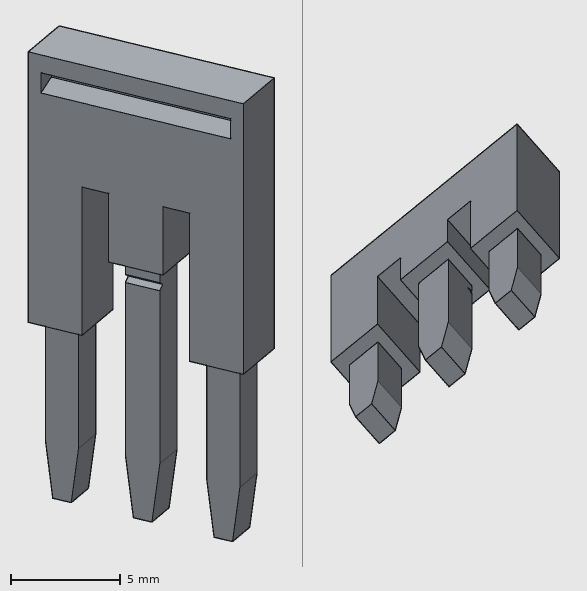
import cadquery as cq

body_width = 11.2
body_depth = 3.0
total_height = 22.98
body_height = 13.88
leg_width = 2.8
window_width = 1.38
window_top_drop = 6.27
tongue_drop = 9.8

outer_pin_width = 1.72
middle_pin_width = 1.8
pin_depth = 1.68
pin_tip_width = 0.97
outer_taper_length = 2.87
middle_taper_length = 3.1
pin_pitch = body_width / 2 - leg_width / 2
pin_front = -pin_depth / 2

groove_drop = 10.8
groove_height = 0.41
groove_depth = 0.28

slot_width = 9.85
slot_drop = 0.92
slot_height = 1.03
slot_upper_slope = 0.28
slot_lower_slope = 0.37
slot_depth = 1.0

body_front = -body_depth / 2
body_bottom = total_height - body_height
window_top = total_height - window_top_drop
tongue_bottom = total_height - tongue_drop
tongue_width = body_width - 2 * (leg_width + window_width)


def block(width, depth, bottom, top):
    """Box centred on X and Y between two heights."""
    height = top - bottom
    return cq.Workplane("XY").box(width, depth, height, centered=(True, True, False)).translate((0, 0, bottom))


def profile_along_x(points, width):
    """Extrude a (Y, Z) profile symmetrically about X = 0."""
    return cq.Workplane("YZ").polyline(points).close().extrude(width / 2, both=True)


def housing():
    """E-shaped housing with two outer legs and a short middle tongue."""
    body = block(body_width, body_depth, body_bottom, total_height)
    opening = block(body_width - 2 * leg_width, body_depth, body_bottom, window_top)
    tongue = block(tongue_width, body_depth, tongue_bottom, window_top)
    return body.cut(opening).union(tongue)


def pin(x_centre, top, width, taper_length):
    """Flat pin whose sides taper to a blunt tip at Z = 0."""
    outline = [
        (-pin_tip_width / 2, 0),
        (pin_tip_width / 2, 0),
        (width / 2, taper_length),
        (width / 2, top),
        (-width / 2, top),
        (-width / 2, taper_length),
    ]
    flat_pin = cq.Workplane("XZ").polyline(outline).close().extrude(pin_depth / 2, both=True)
    return flat_pin.translate((x_centre, 0, 0))


def break_groove():
    """V-groove in the front face of the middle pin."""
    middle = total_height - groove_drop
    points = [
        (pin_front, middle - groove_height / 2),
        (pin_front + groove_depth, middle),
        (pin_front, middle + groove_height / 2),
    ]
    return profile_along_x(points, middle_pin_width)


def marker_slot():
    """Trapezoidal slot in the front face."""
    top = total_height - slot_drop
    bottom = top - slot_height
    points = [
        (body_front, bottom),
        (body_front + slot_depth, bottom + slot_lower_slope),
        (body_front + slot_depth, top - slot_upper_slope),
        (body_front, top),
    ]
    return profile_along_x(points, slot_width)


result = housing().cut(marker_slot())
for x_centre in (-pin_pitch, pin_pitch):
    result = result.union(pin(x_centre, body_bottom, outer_pin_width, outer_taper_length))
middle_pin = pin(0, tongue_bottom, middle_pin_width, middle_taper_length)
result = result.union(middle_pin.cut(break_groove()))